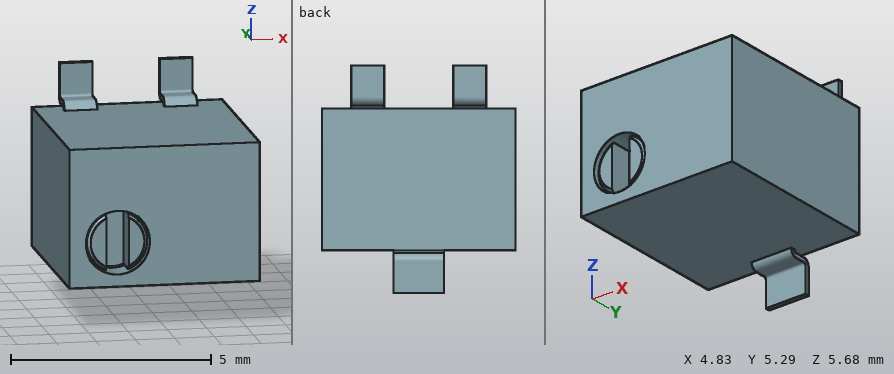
import cadquery as cq
import math

overall_height = 5.68
body_width = 4.83
body_height = 3.545
body_back = 5.08

screw_x = -1.185
screw_z = -0.65
hole_radius = 0.81
hole_depth = 0.795
screw_radius = 0.765
screw_recess = 0.05
rim_width = 0.085
rim_depth = 0.075
slot_width = 0.57
slot_depth = 0.68

strip = 0.135
inner_radius = 0.07
outer_radius = inner_radius + strip
gap = 0.07
embed = 0.055
upper_lead_width = 0.83
upper_lead_pitch = 2.54
upper_flat = 0.34
upper_root_angle = 53
lower_lead_width = 1.26
lower_flat = 0.295
lower_root_angle = 90


def front_cylinder(radius, start, end):
    """Cylinder on the screw axis, running from Y = start to Y = end."""
    plane = cq.Plane(origin=(screw_x, start, screw_z), xDir=(1, 0, 0), normal=(0, 1, 0))
    return cq.Workplane(plane).circle(radius).extrude(end - start)


def make_screw():
    """Screw with a bevelled rim and a slot straight across its head."""
    screw = front_cylinder(screw_radius, screw_recess, hole_depth)
    screw = screw.faces("<Y").chamfer(rim_depth, rim_width)
    slot_end = screw_recess + slot_depth
    slot = cq.Workplane("XY").box(slot_width, slot_end, 2 * hole_radius)
    return screw.cut(slot.translate((screw_x, slot_end / 2, screw_z)))


def make_lead(width, flat, root_angle, x):
    """Lead on the top face: root curving out of the body, flat run, then upright foot.

    The profile lies in the YZ plane and is extruded along X by the lead width.
    """
    bottom = body_height / 2 + gap
    top = bottom + strip
    foot_bend_z = bottom + outer_radius
    root_y = body_back - flat
    root_z = top - outer_radius
    back = body_back + outer_radius

    def on_root_bend(radius, angle):
        turn = math.radians(angle)
        return (root_y - radius * math.sin(turn), root_z + radius * math.cos(turn))

    angle = math.radians(root_angle)
    inner_end = on_root_bend(inner_radius, root_angle)
    outer_end = on_root_bend(outer_radius, root_angle)
    run = (outer_end[1] - body_height / 2 + embed) / math.sin(angle)
    run_y = -run * math.cos(angle)
    run_z = -run * math.sin(angle)

    diagonal = math.sqrt(0.5)
    foot_outer_mid = (body_back + outer_radius * diagonal, foot_bend_z - outer_radius * diagonal)
    foot_inner_mid = (body_back + inner_radius * diagonal, foot_bend_z - inner_radius * diagonal)

    return (
        cq.Workplane("YZ", origin=(x - width / 2, 0, 0))
        .moveTo(root_y, bottom)
        .lineTo(body_back, bottom)
        .threePointArc(foot_outer_mid, (back, foot_bend_z))
        .lineTo(back, overall_height / 2)
        .lineTo(back - strip, overall_height / 2)
        .lineTo(back - strip, foot_bend_z)
        .threePointArc(foot_inner_mid, (body_back, top))
        .lineTo(root_y, top)
        .threePointArc(on_root_bend(outer_radius, root_angle / 2), outer_end)
        .line(run_y, run_z)
        .lineTo(inner_end[0] + run_y, inner_end[1] + run_z)
        .lineTo(*inner_end)
        .threePointArc(on_root_bend(inner_radius, root_angle / 2), (root_y, bottom))
        .close()
        .extrude(width)
    )


body = cq.Workplane("XY").box(body_width, body_back, body_height).translate((0, body_back / 2, 0))
result = body.cut(front_cylinder(hole_radius, 0, hole_depth))
result = result.union(make_screw())

for side in (-1, 1):
    result = result.union(
        make_lead(upper_lead_width, upper_flat, upper_root_angle, side * upper_lead_pitch / 2)
    )

lower_lead = make_lead(lower_lead_width, lower_flat, lower_root_angle, 0).mirror("XY")
result = result.union(lower_lead)